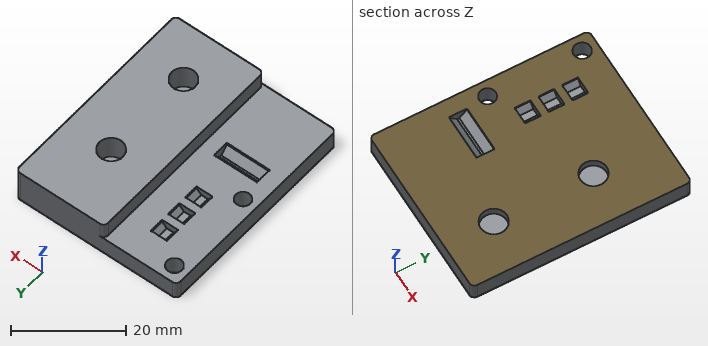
import cadquery as cq

length_x = 36.0
length_y = 44
base_height = 4.0
total_height = 7.5
block_width = 19.8
corner_radius = 1.0

mount_hole_x = 3.05
mount_holes = [(40.9, 3.3), (22, 3.2)]

blind_hole_x = 26.0
blind_hole_y = [10.05, 30.0]
blind_hole_diameter = 5.2
blind_hole_depth = 5.3

pocket_center_x = 9.3
pocket_first_y = 26.45
pocket_pitch = 4.75
pocket_count = 3
pocket_width = 3.55
pocket_breadth = 3.1
pocket_lip = 0.5
pocket_taper_width = 1.05
pocket_taper_depth = pocket_taper_width

slot_center_x = 8.25
slot_center_y = 15.85
slot_length = 9.55
slot_width = 3.5
slot_lip = 0.5
slot_taper_width = 1.55
slot_taper_depth = slot_taper_width


def rounded_box(x_min, width, z_min, height):
    """Full-length box with rounded vertical corners."""
    return (
        cq.Workplane("XY")
        .box(width, length_y, height, centered=False)
        .edges("|Z")
        .fillet(corner_radius)
        .translate((x_min, 0, z_min))
    )


def tapered_cutter(width, breadth, lip, taper_width, taper_depth):
    """Trough cutter centred under the origin: straight lip, sloping sides along X, flat floor."""
    half_width = width / 2
    half_floor = half_width - taper_width
    floor_z = -lip - taper_depth
    return (
        cq.Workplane("XZ")
        .polyline([
            (-half_width, 0),
            (-half_width, -lip),
            (-half_floor, floor_z),
            (half_floor, floor_z),
            (half_width, -lip),
            (half_width, 0),
        ])
        .close()
        .extrude(breadth / 2, both=True)
    )


base = rounded_box(0, length_x, 0, base_height)
block = rounded_box(length_x - block_width, block_width, 0, total_height)
result = base.union(block)

for hole_y, diameter in mount_holes:
    hole = cq.Workplane("XY").center(mount_hole_x, hole_y).circle(diameter / 2).extrude(base_height)
    result = result.cut(hole)

blind_holes = (
    cq.Workplane("XY", origin=(0, 0, total_height))
    .pushPoints([(blind_hole_x, y) for y in blind_hole_y])
    .circle(blind_hole_diameter / 2)
    .extrude(-blind_hole_depth)
)
result = result.cut(blind_holes)

pocket = tapered_cutter(pocket_width, pocket_breadth, pocket_lip, pocket_taper_width, pocket_taper_depth)
for index in range(pocket_count):
    pocket_y = pocket_first_y + index * pocket_pitch
    result = result.cut(pocket.translate((pocket_center_x, pocket_y, base_height)))

slot = tapered_cutter(slot_width, slot_length, slot_lip, slot_taper_width, slot_taper_depth)
slot = slot.rotate((0, 0, 0), (0, 0, 1), 90)
result = result.cut(slot.translate((slot_center_x, slot_center_y, base_height)))